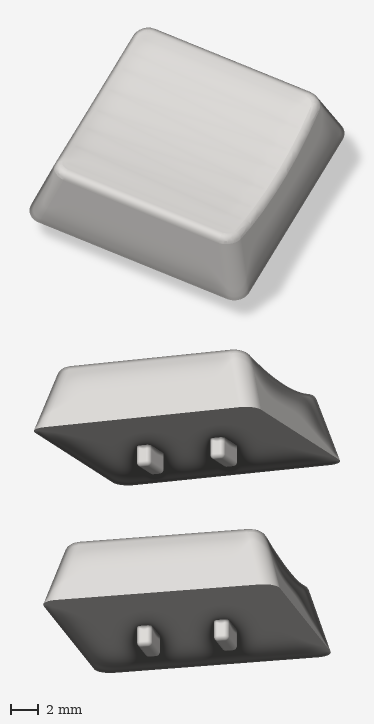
import cadquery as cq

base_side = 17.5
wall_draft = 16.6
corner_radius = 1.25

dish_floor_height = 4.0
dish_radius = 27.0
rim_radius = 0.6

dish_allowance = 2.0
blank_height = dish_floor_height + dish_allowance

leg_pitch = 5.7
leg_width = 1.1
leg_length = 2.9
leg_drop = 1.5
leg_rounding = 0.3


def make_frustum():
    """Drafted square block with rounded sloping corners."""
    block = cq.Workplane("XY").rect(base_side, base_side).extrude(blank_height, taper=wall_draft)
    return block.edges("not(|X or |Y)").fillet(corner_radius)


def make_dish_cutter():
    """Cylinder along X that hollows the top of the cap."""
    return (
        cq.Workplane("YZ")
        .center(0, dish_floor_height + dish_radius)
        .circle(dish_radius)
        .extrude(base_side / 2, both=True)
    )


def make_cap():
    """Dished cap with a rounded rim."""
    dished = make_frustum().cut(make_dish_cutter())
    return dished.faces(">Z").edges().fillet(rim_radius)


def make_leg(x_center):
    """Upright leg hanging from the base, rounded on its sides and tip."""
    leg = (
        cq.Workplane("XY")
        .center(x_center, 0)
        .rect(leg_width, leg_length)
        .extrude(-leg_drop)
    )
    leg = leg.edges("|Z").fillet(leg_rounding)
    return leg.faces("<Z").edges().fillet(leg_rounding)


result = make_cap()
for side in (-1, 1):
    result = result.union(make_leg(side * leg_pitch / 2))